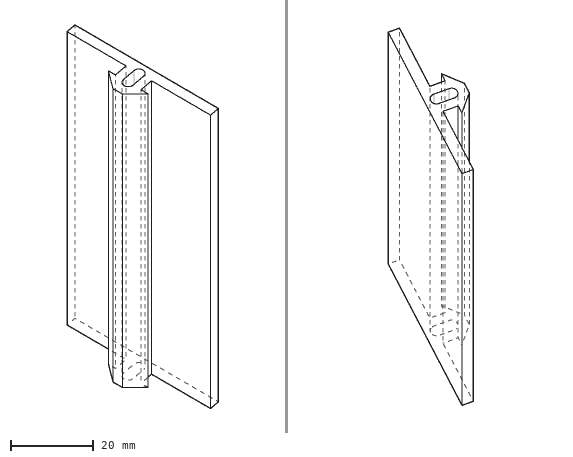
import cadquery as cq

length = 100.0
plate_width = 45.0
plate_thickness = 3.0
total_depth = 11.0
stem_width = 8.0
barb_width = 12.5
tip_width = 3.0
barb_height = 4.0
slot_width = 3.0
slot_length = 7.0
slot_front_wall = 2.5

plate_front = total_depth - plate_thickness
slot_center = slot_front_wall + slot_length / 2

plate = (
    cq.Workplane("XY")
    .center(0, plate_front + plate_thickness / 2)
    .rect(plate_width, plate_thickness)
    .extrude(length)
)

half_rib = [
    (0, 0),
    (tip_width / 2, 0),
    (barb_width / 2, barb_height),
    (stem_width / 2, barb_height),
    (stem_width / 2, plate_front),
    (0, plate_front),
]
rib_side = cq.Workplane("XY").polyline(half_rib).close().extrude(length)
rib = rib_side.union(rib_side.mirror("YZ"))

slot = (
    cq.Workplane("XY")
    .center(0, slot_center)
    .slot2D(slot_length, slot_width, 90)
    .extrude(length)
)

result = plate.union(rib).cut(slot).clean()